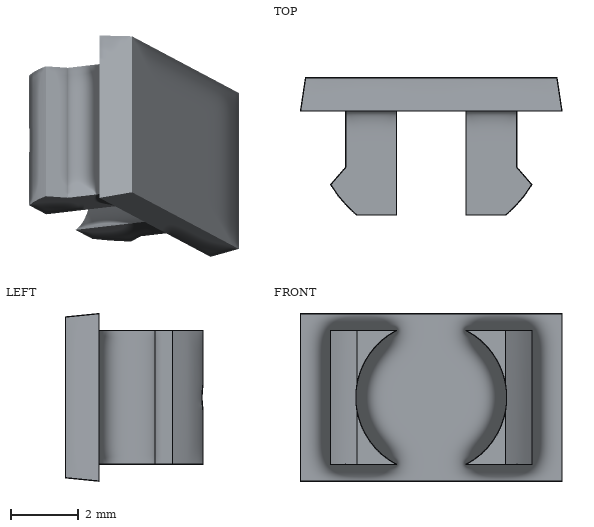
import cadquery as cq

plate_width = 7.8
plate_height = 5.0
plate_thickness = 1.0
side_draft = 0.15
end_draft = 0.10

leg_length = 3.1
leg_height = 4.0
leg_outer_x = 2.55
barb_x = 3.0
barb_start = 1.67
barb_peak = 2.19
tip_outer_x = 2.22
nose_bulge = 0.05

bore_radius = 2.25


def make_plate():
    """Drafted rectangular plate with its inner face on Y = 0."""
    return (
        cq.Workplane("XZ")
        .rect(plate_width, plate_height)
        .workplane(offset=-plate_thickness)
        .rect(plate_width - 2 * side_draft, plate_height - 2 * end_draft)
        .loft(ruled=True)
    )


def make_leg(side):
    """Barbed leg on the +X (side = 1) or -X (side = -1) half, before boring."""
    peak = (barb_x, -barb_peak)
    tip = (tip_outer_x, -leg_length)
    chord_x = peak[0] - tip[0]
    chord_y = peak[1] - tip[1]
    chord = (chord_x**2 + chord_y**2) ** 0.5
    nose_x = (peak[0] + tip[0]) / 2 + nose_bulge * chord_y / chord
    nose_y = (peak[1] + tip[1]) / 2 - nose_bulge * chord_x / chord
    inner_x = (bore_radius**2 - (leg_height / 2) ** 2) ** 0.5
    return (
        cq.Workplane("XY")
        .workplane(offset=-leg_height / 2)
        .moveTo(side * inner_x, 0)
        .lineTo(side * leg_outer_x, 0)
        .lineTo(side * leg_outer_x, -barb_start)
        .lineTo(side * peak[0], peak[1])
        .threePointArc((side * nose_x, nose_y), (side * tip[0], tip[1]))
        .lineTo(side * inner_x, -leg_length)
        .close()
        .extrude(leg_height)
    )


def make_bore():
    """Cylinder along Y, from the plate's inner face to the leg tips."""
    return cq.Workplane("XZ").circle(bore_radius).extrude(leg_length)


legs = make_leg(1).union(make_leg(-1)).cut(make_bore())
result = make_plate().union(legs)